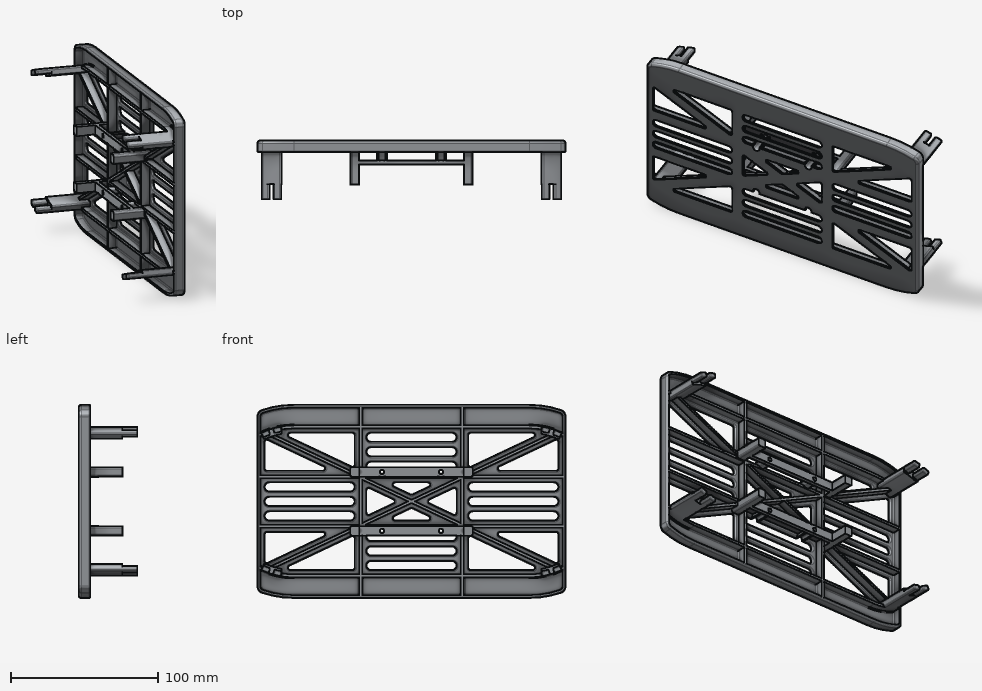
import cadquery as cq
import math

half_width = 104.6
half_height = 65.6
bow_center_x = 80.0
corner_radius = 5.0
tray_depth = 8.0
skin = 2.0
wall = 2.0
rib = 2.0
back_edge_radius = 2.0
front_edge_radius = 1.0
floor_radius = 0.8

inner_half_width = half_width - wall
inner_half_height = half_height - wall
column_width = (2 * inner_half_width - 2 * rib) / 3
column_pitch = column_width + rib
column_rib_x = column_pitch / 2
bowed_rib_radius = 50.5
row_pitch = 2 * bowed_rib_radius / 3
mid_rib_z = row_pitch / 2
diagonal_angle = 25.3

ledge = 3.0
opening_corner_radius = 1.5
opening_edge_radius = 1.0
slot_height = 6.0
slot_pitch = (row_pitch - rib - 2 * ledge - slot_height) / 2

bracket_z = 20.0
bracket_height = 6.5
post_width = 6.0
post_depth = 30.0
post_edge_radius = 1.2
bar_front = 16.5
bar_thickness = 3.0
bar_back = bar_front - bar_thickness
screw_x = 20.0
screw_points = [(-screw_x, bracket_z), (screw_x, bracket_z)]
screw_hole_diameter = 2.8
boss_diameter = 7.0
boss_bore_diameter = 5.0

leg_outer_radius = bowed_rib_radius + rib / 2
leg_inner_radius = bowed_rib_radius - rib / 2 - ledge
prong_inner_radius = 48.0
leg_start_angle = 9.7
leg_end_angle = 25.3
leg_mid_angle = (leg_start_angle + leg_end_angle) / 2
leg_edge_radius = 1.0
leg_shoulder_depth = 29.7
leg_depth = 40.0
prong_gap = 3.0
prong_tip_radius = 0.6


def at_depth(depth):
    """Plane parallel to the skin; its local axes are X and Z, and it extrudes toward -Y."""
    return cq.Workplane("XZ", origin=(0, -depth, 0))


def block(x_min, x_max, z_min, z_max, depth_from, depth_to):
    size = (x_max - x_min, z_max - z_min, depth_to - depth_from)
    center = ((x_min + x_max) / 2, (z_min + z_max) / 2)
    return at_depth(depth_from).center(*center).box(*size, centered=(True, True, False))


def mirrored_x(shape):
    return shape.union(shape.mirror("YZ"))


def mirrored_z(shape):
    return shape.union(shape.mirror("XY"))


def bowed_plate(half_x, half_z, depth_from, depth_to):
    """Plate with straight long sides that bow inward near the ends, with sharp corners."""
    end_offset = half_x - bow_center_x
    end_z = math.sqrt(half_z ** 2 - end_offset ** 2)
    half_angle = math.asin(end_offset / half_z) / 2
    mid_x = bow_center_x + half_z * math.sin(half_angle)
    mid_z = half_z * math.cos(half_angle)
    return (
        at_depth(depth_from)
        .moveTo(-bow_center_x, half_z)
        .lineTo(bow_center_x, half_z)
        .threePointArc((mid_x, mid_z), (half_x, end_z))
        .lineTo(half_x, -end_z)
        .threePointArc((mid_x, -mid_z), (bow_center_x, -half_z))
        .lineTo(-bow_center_x, -half_z)
        .threePointArc((-mid_x, -mid_z), (-half_x, -end_z))
        .lineTo(-half_x, end_z)
        .threePointArc((-mid_x, mid_z), (-bow_center_x, half_z))
        .close()
        .extrude(depth_to - depth_from)
    )


def rounded_corners(plate, radius):
    return plate.edges("|Y and (>X or <X)").fillet(radius)


def diagonal_bands(width, depth_from, depth_to):
    """Two long bars crossing at the centre of the tray."""
    length = 2 * math.hypot(half_width, half_height)
    bar = at_depth(depth_from).rect(length, width).extrude(depth_to - depth_from)
    first = bar.rotate((0, 0, 0), (0, 1, 0), diagonal_angle)
    return first.union(first.mirror("XY"))


def column_ribs():
    right = block(column_rib_x - rib / 2, column_rib_x + rib / 2, -half_height, half_height, 0, tray_depth)
    return mirrored_x(right)


def mid_ribs():
    upper = block(-half_width, half_width, mid_rib_z - rib / 2, mid_rib_z + rib / 2, 0, tray_depth)
    return mirrored_z(upper)


def diagonal_ribs():
    """Diagonals in the four corner cells and in the centre cell."""
    upper_band = block(-half_width, half_width, mid_rib_z, half_height, 0, tray_depth)
    center_cell = block(-column_rib_x, column_rib_x, -mid_rib_z, mid_rib_z, 0, tray_depth)
    return diagonal_bands(rib, 0, tray_depth).intersect(mirrored_z(upper_band).union(center_cell))


def tray_body():
    """Solid tray hollowed from the front, leaving the skin, the outer wall and the ribs."""
    body = rounded_corners(bowed_plate(half_width, half_height, 0, tray_depth), corner_radius)
    body = body.faces(">Y").edges().fillet(back_edge_radius)
    body = body.faces("<Y").edges().fillet(front_edge_radius)

    inside = rounded_corners(
        bowed_plate(inner_half_width, inner_half_height, skin, tray_depth), corner_radius - wall
    )
    rib_outside = bowed_plate(inner_half_width, bowed_rib_radius + rib / 2, skin, tray_depth)
    rib_inside = bowed_plate(inner_half_width, bowed_rib_radius - rib / 2, skin, tray_depth)

    strip_pockets = inside.cut(rib_outside).cut(column_ribs())
    strip_pockets = strip_pockets.faces(">Y").edges().fillet(floor_radius)
    rib_inside = rib_inside.faces(">Y").edges().fillet(floor_radius)
    lattice_pockets = rib_inside.cut(column_ribs()).cut(mid_ribs())
    lattice_pockets = lattice_pockets.cut(diagonal_ribs())
    return body.cut(strip_pockets).cut(lattice_pockets)


def slot(x, z, depth):
    length = column_width - 2 * ledge
    return at_depth(0).center(x, z).slot2D(length, slot_height).extrude(depth)


def slots(depth):
    """Three slots in each cell that has no diagonal."""
    cells = [
        (-column_pitch, 0),
        (column_pitch, 0),
        (0, row_pitch),
        (0, -row_pitch),
    ]
    all_slots = cq.Workplane("XZ")
    for x, z in cells:
        for step in (-1, 0, 1):
            all_slots = all_slots.union(slot(x, z + step * slot_pitch, depth))
    return all_slots


def triangular_openings():
    """Openings on both sides of every diagonal."""
    margin = rib / 2 + ledge
    field = bowed_plate(inner_half_width - ledge, bowed_rib_radius - margin, 0, skin)
    corner_cell = block(column_rib_x + margin, half_width, mid_rib_z + margin, half_height, 0, skin)
    center_cell = block(
        -column_rib_x + margin, column_rib_x - margin, -mid_rib_z + margin, mid_rib_z - margin, 0, skin
    )
    cells = mirrored_z(mirrored_x(corner_cell)).union(center_cell)
    openings = field.intersect(cells).cut(diagonal_bands(rib + 2 * ledge, 0, skin))
    rounded = cq.Workplane("XZ")
    for face in openings.faces(">Y").vals():
        outline = cq.Workplane("XZ").newObject([face.outerWire()]).toPending()
        outline = outline.offset2D(-opening_corner_radius).offset2D(opening_corner_radius)
        rounded = rounded.union(outline.extrude(skin))
    return rounded


def skin_openings():
    """Everything cut through the skin, flared by the rounding of its front edges."""
    sheet = block(-half_width, half_width, -half_height, half_height, 0, skin)
    pierced = sheet.cut(slots(skin)).cut(triangular_openings())
    rounded = pierced.faces("<Y").edges("not(<X or >X or <Z or >Z)").fillet(opening_edge_radius)
    return sheet.cut(rounded)


def post():
    """Left upper post, beside the column rib, with its outer edges rounded."""
    inner_x = -column_rib_x - rib / 2
    outer_x = inner_x - post_width
    half = bracket_height / 2
    bar = block(outer_x, inner_x, bracket_z - half, bracket_z + half, 0, post_depth)
    return bar.edges("|Y and <X").fillet(post_edge_radius)


def bracket():
    """Upper bracket: two posts, a crossbar and two bosses that stop at the slot beside them."""
    half = bracket_height / 2
    bar_end = column_rib_x + rib
    bar = block(-bar_end, bar_end, bracket_z - half, bracket_z + half, bar_back, bar_front)
    bosses = at_depth(0).pushPoints(screw_points).circle(boss_diameter / 2).extrude(bar_back)
    bosses = bosses.cut(slots(bar_back))
    return mirrored_x(post()).union(bar).union(bosses)


def screw_holes():
    """Wide bores through the skin and bosses, and narrow holes through the crossbar."""
    bores = at_depth(0).pushPoints(screw_points).circle(boss_bore_diameter / 2).extrude(bar_back)
    holes = at_depth(0).pushPoints(screw_points).circle(screw_hole_diameter / 2).extrude(bar_front)
    return bores.union(holes)


def ring_point(radius, angle):
    """Point about the left bow centre; the angle is in degrees from +Z toward -X."""
    return (
        -bow_center_x - radius * math.sin(math.radians(angle)),
        radius * math.cos(math.radians(angle)),
    )


def ring_sector(inner_radius, depth_from, depth_to):
    return (
        at_depth(depth_from)
        .moveTo(*ring_point(inner_radius, leg_start_angle))
        .lineTo(*ring_point(leg_outer_radius, leg_start_angle))
        .threePointArc(
            ring_point(leg_outer_radius, leg_mid_angle), ring_point(leg_outer_radius, leg_end_angle)
        )
        .lineTo(*ring_point(inner_radius, leg_end_angle))
        .threePointArc(ring_point(inner_radius, leg_mid_angle), ring_point(inner_radius, leg_start_angle))
        .close()
        .extrude(depth_to - depth_from)
    )


def leg():
    """Left upper leg."""
    shank = ring_sector(leg_inner_radius, 0, leg_shoulder_depth).edges("|Y").fillet(leg_edge_radius)
    gap = (
        at_depth(leg_shoulder_depth)
        .rect(prong_gap, 2 * leg_outer_radius + 2 * rib)
        .extrude(leg_depth - leg_shoulder_depth)
        .rotate((0, 0, 0), (0, 1, 0), -leg_mid_angle)
        .translate((-bow_center_x, 0, 0))
    )
    prongs = ring_sector(prong_inner_radius, leg_shoulder_depth, leg_depth).cut(gap)
    prongs = prongs.edges("|Y").fillet(leg_edge_radius)
    prongs = prongs.faces("<Y").edges().fillet(prong_tip_radius)
    return shank.union(prongs)


tray = tray_body().cut(skin_openings())
brackets = mirrored_z(bracket())
legs = mirrored_z(mirrored_x(leg()))
result = tray.union(brackets).union(legs).cut(mirrored_z(screw_holes()))